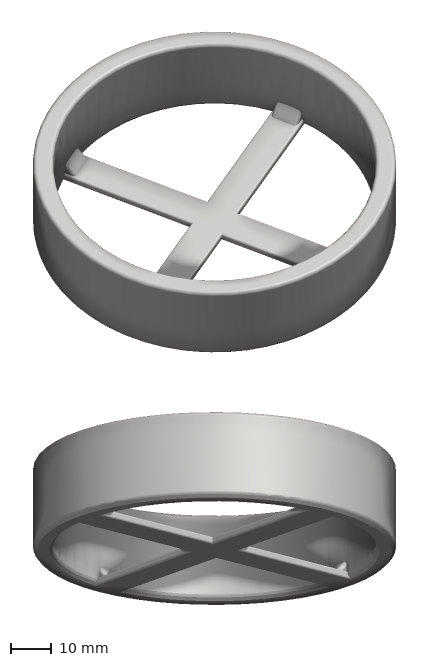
import cadquery as cq

outer_diameter = 89.5
inner_diameter = 79.5
height = 22.0
edge_radius = 1.0
bottom_chamfer = 1.0
chamfer_blend_radius = 1.0

bar_width = 8.5
bar_thickness = 2.0
bar_edge_radius = 0.5

wedge_width = 7.25
wedge_size = 2.95
wedge_edge_radius = 1.0

outer_radius = outer_diameter / 2
inner_radius = inner_diameter / 2
wall_middle = (outer_radius + inner_radius) / 2
wall_overlap = wall_middle - inner_radius


def make_ring():
    """Round wall with a rounded top rim and a chamfered foot that blends into both sides."""
    ring = cq.Workplane("XY").circle(outer_radius).circle(inner_radius).extrude(height)
    ring = ring.faces(">Z").edges().fillet(edge_radius)
    ring = ring.faces("<Z").edges().chamfer(bottom_chamfer)
    blend_edges = ring.edges("%CIRCLE").edges(
        cq.selectors.BoxSelector(
            (-outer_diameter, -outer_diameter, bottom_chamfer / 2),
            (outer_diameter, outer_diameter, bottom_chamfer * 3 / 2),
        )
    )
    return blend_edges.fillet(chamfer_blend_radius)


def make_cross():
    """Two crossing bars with rounded long edges, reaching into the wall."""
    length = 2 * wall_middle
    cross = cq.Workplane("XY").rect(length, bar_width).extrude(bar_thickness)
    cross = cross.union(cq.Workplane("XY").rect(bar_width, length).extrude(bar_thickness))
    reach = wall_middle - wall_overlap / 2
    long_edges = cross.edges("|X or |Y").edges(
        cq.selectors.BoxSelector((-reach, -reach, -bar_thickness), (reach, reach, 2 * bar_thickness))
    )
    return long_edges.fillet(bar_edge_radius)


def make_wedge():
    """45 degree wedge on the +X bar, with rounded sides along its slope."""
    toe = inner_radius - wedge_size
    tip = wedge_size + wall_overlap
    wedge = (
        cq.Workplane("XZ", origin=(0, 0, bar_thickness))
        .moveTo(toe, 0)
        .lineTo(wall_middle, tip)
        .lineTo(wall_middle, 0)
        .close()
        .extrude(wedge_width / 2, both=True)
    )
    slope_edges = cq.selectors.ParallelDirSelector(cq.Vector(1, 0, 1))
    wedge = wedge.edges(slope_edges).fillet(wedge_edge_radius)
    trim = cq.Workplane("XY").circle(inner_radius + wall_overlap / 2).extrude(height)
    return wedge.intersect(trim)


result = make_ring().union(make_cross())
for quarter in range(4):
    result = result.union(make_wedge().rotate((0, 0, 0), (0, 0, 1), 90 * quarter))